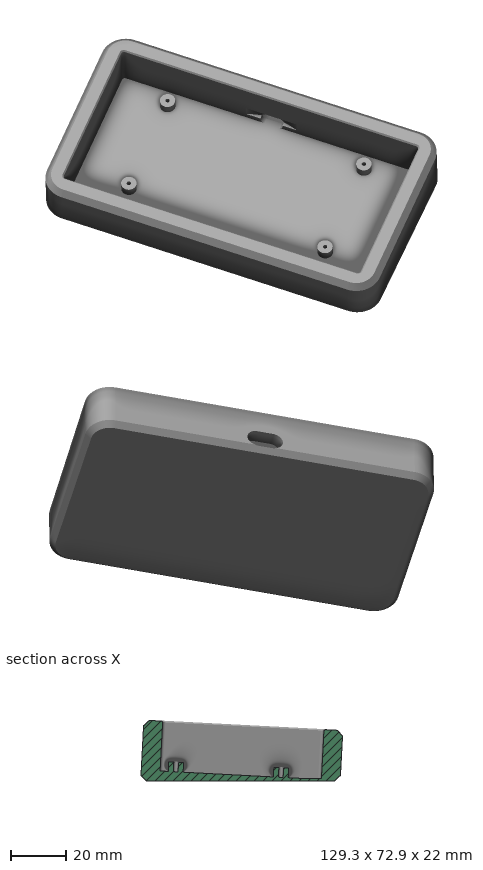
import cadquery as cq
import math

length = 129.3
width = 72.1
overall_height = 22.0
tilt = 3.0
corner_radius = 9.0
edge_chamfer = 2.1

wall = 7.0
pocket_corner_radius = 1.0
rim_chamfer = 0.5
floor_height = 2.2
front_floor_height = 1.1

boss_diameter = 5.5
boss_hole_diameter = 1.5
boss_height = 3.5
boss_spacing_x = 76.3
boss_spacing_y = 38.0
boss_center_y = 4.5

slot_width = 8.8
slot_height = 3.2
plug_clearance = 2.2
plug_depth = 4.9
relief_width = 19.7
relief_depth = 1.8
relief_height = 3.9
relief_above_floor = 2.2

tilt_angle = math.radians(tilt)
rear_rim_y = width / 2 - edge_chamfer
rim_height = (overall_height - rear_rim_y * math.sin(tilt_angle)) / math.cos(tilt_angle)
slot_z = floor_height + slot_height / 2
pocket_length = length - 2 * wall
pocket_width = width - 2 * wall
rear_inner_y = pocket_width / 2
base_extension = 12.9


def tilted(shape):
    return shape.rotate((0, 0, 0), (1, 0, 0), tilt)


def rounded_block(size_x, size_y, bottom, top, radius):
    block = cq.Workplane("XY").workplane(offset=bottom).rect(size_x, size_y).extrude(top - bottom)
    return block.edges("|Z").fillet(radius)


def half_space_above(height):
    block = cq.Workplane("XY").workplane(offset=height)
    return block.rect(2 * length, 2 * width).extrude(2 * overall_height)


def make_body():
    shell = rounded_block(length, width, -base_extension, rim_height, corner_radius)
    shell = tilted(shell.faces(">Z").chamfer(edge_chamfer))
    body = shell.intersect(half_space_above(0))
    return body.faces("<Z").chamfer(edge_chamfer)


def make_pocket():
    pocket = rounded_block(
        pocket_length, pocket_width, floor_height, rim_height, pocket_corner_radius
    )
    return tilted(pocket).intersect(half_space_above(front_floor_height))


def pocket_outline(growth):
    outline = cq.Sketch().rect(pocket_length + 2 * growth, pocket_width + 2 * growth)
    return outline.vertices().fillet(pocket_corner_radius + growth)


def make_rim_bevel():
    bevel = (
        cq.Workplane("XY")
        .workplane(offset=rim_height)
        .placeSketch(
            pocket_outline(rim_chamfer),
            pocket_outline(0).moved(cq.Location(cq.Vector(0, 0, -rim_chamfer))),
        )
        .loft()
    )
    return tilted(bevel)


def make_bosses():
    """Ring-shaped standoffs with screw holes as deep as the standoff."""
    bosses = (
        cq.Workplane("XY")
        .workplane(offset=floor_height)
        .center(0, boss_center_y)
        .rarray(boss_spacing_x, boss_spacing_y, 2, 2)
        .circle(boss_diameter / 2)
        .circle(boss_hole_diameter / 2)
        .extrude(boss_height)
    )
    return tilted(bosses)


def make_connector_slot():
    """Stadium opening level with the floor, with a plug recess in the outer face."""
    rear_face = cq.Workplane("XZ", origin=(0, width / 2, slot_z))
    through = rear_face.slot2D(slot_width, slot_height).extrude(wall)
    plug_recess = rear_face.slot2D(
        slot_width + 2 * plug_clearance, slot_height + 2 * plug_clearance
    ).extrude(plug_depth)
    return tilted(through.union(plug_recess))


def make_connector_relief():
    """Shallow arc scooped out of the inside of the rear wall."""
    relief = (
        cq.Workplane("XY")
        .workplane(offset=floor_height + relief_above_floor)
        .moveTo(-relief_width / 2, rear_inner_y)
        .threePointArc((0, rear_inner_y + relief_depth), (relief_width / 2, rear_inner_y))
        .close()
        .extrude(relief_height)
    )
    return tilted(relief)


result = (
    make_body()
    .cut(make_pocket())
    .cut(make_rim_bevel())
    .cut(make_connector_slot())
    .cut(make_connector_relief())
    .union(make_bosses())
)